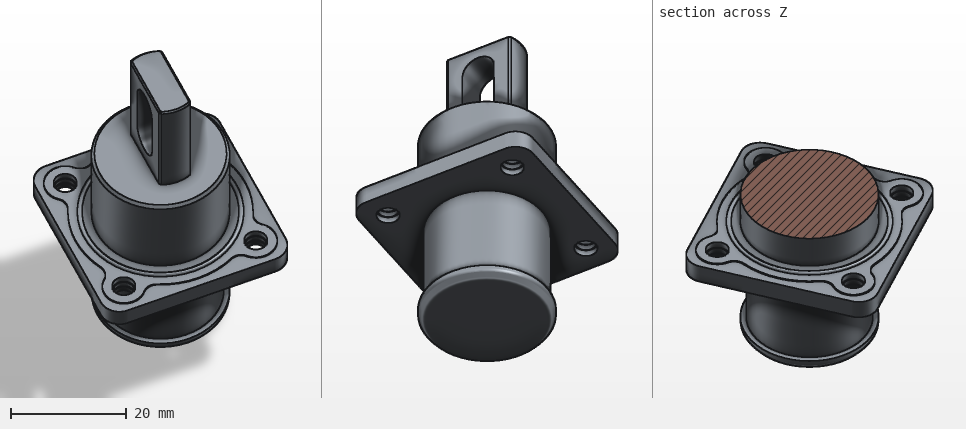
import cadquery as cq

total_height = 60.1
lip_height = 2.35
flange_bottom = 20.2
flange_top = 23.7
pad_top = 23.9
boss_top = 40.15

barrel_diameter = 22.0
lip_diameter = 24.0
lip_taper_height = 1.3
lip_taper_depth = 1.0
lip_fillet = 0.9

flange_side = 35.0
flange_corner_radius = 3.5
hole_spacing = 25.0
hole_diameter = 4.0
hole_collar_diameter = 3.7

pad_diameter = 32.1
pad_lobe_radius = 3.7
pad_blend_radius = 2.3
bead_outer_radius = 14.4
bead_section_radius = 0.4

boss_diameter = 24.0
boss_chamfer = 0.55

tab_bar_diameter = 14.0
tab_thickness = 6.0
tab_chamfer = 0.3
slot_width = 6.4
slot_length = 15.0
slot_center_height = 50.2


def cylinder(diameter, bottom, top):
    """Upright cylinder on the central axis."""
    return cq.Workplane("XY").workplane(offset=bottom).circle(diameter / 2).extrude(top - bottom)


def at_screw_holes(height):
    """Workplane with a point at each of the four screw holes."""
    plane = cq.Workplane("XY").workplane(offset=height)
    return plane.rect(hole_spacing, hole_spacing, forConstruction=True).vertices()


def make_barrel():
    """Barrel above a lip whose lower edge tapers inward between two rounded corners."""
    lip_radius = lip_diameter / 2
    half_section = cq.Workplane("XZ").polyline([
        (0, 0),
        (lip_radius - lip_taper_depth, 0),
        (lip_radius, lip_taper_height),
        (lip_radius, lip_height),
        (0, lip_height),
    ]).close()
    lip = half_section.revolve(360, (0, 0), (0, 1))
    lip = lip.edges("%CIRCLE and (not >Z)").fillet(lip_fillet)
    return lip.union(cylinder(barrel_diameter, lip_height, flange_bottom))


def make_flange():
    plate = cq.Workplane("XY").workplane(offset=flange_bottom).rect(flange_side, flange_side)
    return plate.extrude(flange_top - flange_bottom).edges("|Z").fillet(flange_corner_radius)


def make_pad():
    """Round pad with a lobe around each screw hole, blended where they meet."""
    thickness = pad_top - flange_top
    lobes = at_screw_holes(flange_top).circle(pad_lobe_radius).extrude(thickness)
    pad = cylinder(pad_diameter, flange_top, pad_top).union(lobes)
    return pad.edges("|Z").fillet(pad_blend_radius)


def make_bead():
    """Half-sunk round bead standing on the pad."""
    center_radius = bead_outer_radius - bead_section_radius
    section = cq.Workplane("XZ").center(center_radius, pad_top).circle(bead_section_radius)
    return section.revolve(360, (-center_radius, 0), (-center_radius, 1))


def make_boss():
    return cylinder(boss_diameter, flange_top, boss_top).faces(">Z").edges().chamfer(boss_chamfer)


def make_tab():
    height = total_height - boss_top
    flats = cq.Workplane("XY").workplane(offset=boss_top).rect(tab_bar_diameter, tab_thickness).extrude(height)
    tab = cylinder(tab_bar_diameter, boss_top, total_height).intersect(flats)
    tab = tab.edges("|Z").chamfer(tab_chamfer)
    tab = tab.faces(">Z").edges().chamfer(tab_chamfer)
    slot = cq.Workplane("XZ").center(0, slot_center_height).slot2D(slot_length, slot_width, 90)
    return tab.cut(slot.extrude(tab_thickness, both=True))


def make_hole_cutters():
    """Through holes narrowed by a collar over the middle third of the flange."""
    hole_depth = pad_top - flange_bottom
    third = hole_depth / 3
    cutters = at_screw_holes(flange_bottom).circle(hole_collar_diameter / 2).extrude(hole_depth)
    for bottom in (flange_bottom, flange_bottom + 2 * third):
        cutters = cutters.union(at_screw_holes(bottom).circle(hole_diameter / 2).extrude(third))
    return cutters


result = make_barrel()
for feature in (make_flange(), make_pad(), make_bead(), make_boss(), make_tab()):
    result = result.union(feature)
result = result.cut(make_hole_cutters())